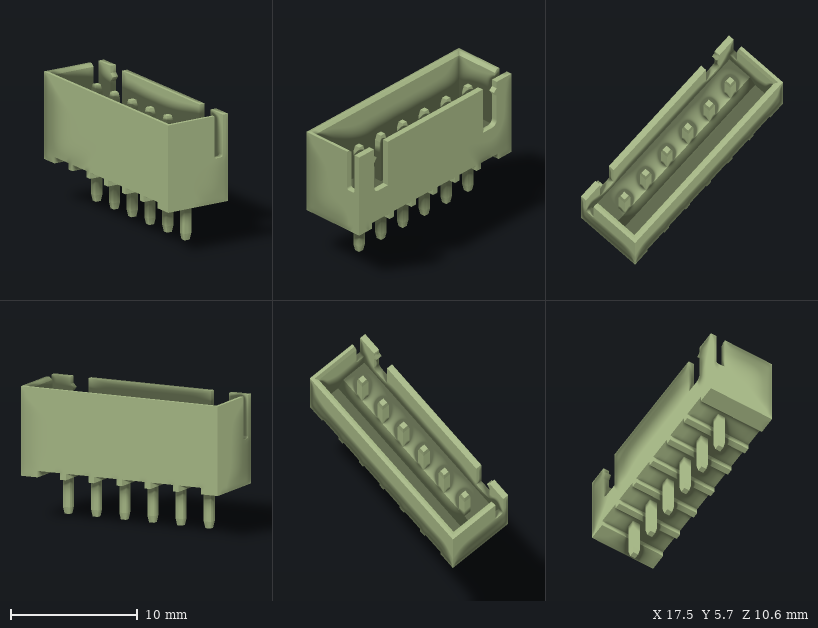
import cadquery as cq

length = 17.5
width = 5.7
housing_height = 7.21
wall = 0.5
overall_height = 10.6

rim_chamfer = 0.25
lower_floor_height = 1.0
step_width = 0.52
step_rise = 1.12
upper_floor_height = lower_floor_height + step_rise

pin_count = 6
pitch = 2.5
pin_size = 0.65
pin_tip_size = 0.45
pin_tip_length = 0.56
pin_to_back = 2.36
pin_top = 6.23

foot_height = 0.52
foot_gap = 2.0

end_slot_width = 0.8
end_slot_depth = 3.5
end_slot_radius = 0.21

notch_offset = 1.7
notch_width = 1.6
notch_depth = 4.0
notch_radius = 0.5
barb_reach = 0.32
barb_drop = 0.6
barb_height = 0.7
barb_tip_drop = 0.28

back = width / 2
front = -width / 2
cavity_back = back - wall
cavity_front = front + wall
pin_y = back - pin_to_back
pin_bottom = housing_height - overall_height
pin_positions = [(i - (pin_count - 1) / 2) * pitch for i in range(pin_count)]


def box(x_min, x_max, y_min, y_max, z_min, z_max):
    """Axis-aligned block between the given limits."""
    size = (x_max - x_min, y_max - y_min, z_max - z_min)
    return cq.Workplane("XY").box(*size, centered=False).translate((x_min, y_min, z_min))


def make_cavity():
    """Open cavity whose floor slopes down from the pin row to a lower front part."""
    step_top_y = pin_y - pin_size / 2
    return (
        cq.Workplane("YZ")
        .moveTo(cavity_back, housing_height)
        .lineTo(cavity_back, upper_floor_height)
        .lineTo(step_top_y, upper_floor_height)
        .lineTo(step_top_y - step_width, lower_floor_height)
        .lineTo(cavity_front, lower_floor_height)
        .lineTo(cavity_front, housing_height)
        .close()
        .extrude(length / 2 - wall, both=True)
    )


def make_rim_chamfer():
    """Tapered lead-in along the inner top edges of the front and end walls."""
    inner_length = length - 2 * wall
    inner_width = cavity_back - cavity_front
    return (
        cq.Workplane("XY", origin=(0, 0, housing_height - rim_chamfer))
        .center(0, cavity_front + inner_width / 2)
        .rect(inner_length, inner_width)
        .workplane(offset=rim_chamfer)
        .center(0, -rim_chamfer / 2)
        .rect(inner_length + 2 * rim_chamfer, inner_width + rim_chamfer)
        .loft(ruled=True)
    )


def make_end_slots():
    """Rounded-bottom slot through both end walls."""
    return box(
        -length / 2, length / 2,
        cavity_back - end_slot_width, cavity_back,
        housing_height - end_slot_depth, housing_height,
    ).edges("|X and <Z").fillet(end_slot_radius)


def make_left_notch():
    """Notch through the back wall, leaving a barb on its outer side."""
    outer_x = -length / 2 + notch_offset
    inner_x = outer_x + notch_width
    bottom = housing_height - notch_depth
    barb_top = housing_height - barb_drop
    return (
        cq.Workplane("XZ", origin=(0, back, 0))
        .moveTo(outer_x, housing_height)
        .lineTo(outer_x, barb_top)
        .lineTo(outer_x + barb_reach, barb_top - barb_tip_drop)
        .lineTo(outer_x, barb_top - barb_height)
        .lineTo(outer_x, bottom + notch_radius)
        .radiusArc((outer_x + notch_radius, bottom), -notch_radius)
        .lineTo(inner_x, bottom)
        .lineTo(inner_x, housing_height)
        .close()
        .extrude(wall)
    )


def make_pin_tip(x, base_z, direction):
    """Tapered pin end pointing up (direction 1) or down (direction -1)."""
    return (
        cq.Workplane("XY", origin=(x, pin_y, base_z))
        .rect(pin_size, pin_size)
        .workplane(offset=direction * pin_tip_length)
        .rect(pin_tip_size, pin_tip_size)
        .loft(ruled=True)
    )


def make_pin(x):
    """Square pin with tapered ends."""
    half = pin_size / 2
    shank_bottom = pin_bottom + pin_tip_length
    shank_top = pin_top - pin_tip_length
    shank = box(x - half, x + half, pin_y - half, pin_y + half, shank_bottom, shank_top)
    return shank.union(make_pin_tip(x, shank_bottom, -1)).union(make_pin_tip(x, shank_top, 1))


result = box(-length / 2, length / 2, front, back, 0, housing_height)
result = result.cut(make_cavity()).cut(make_rim_chamfer()).cut(make_end_slots())
left_notch = make_left_notch()
result = result.cut(left_notch).cut(left_notch.mirror("YZ"))

for pin_x in pin_positions:
    foot_cut = box(pin_x - foot_gap / 2, pin_x + foot_gap / 2, front, back, 0, foot_height)
    result = result.cut(foot_cut)

for pin_x in pin_positions:
    result = result.union(make_pin(pin_x))